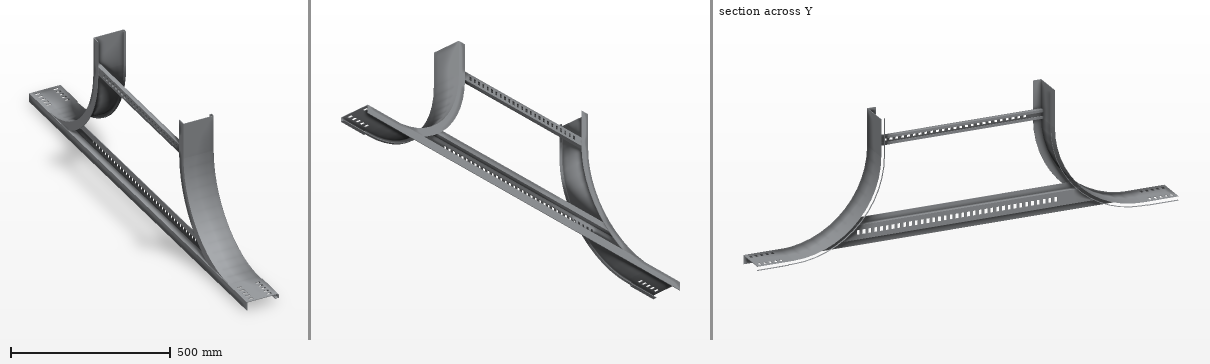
import cadquery as cq
import math

LENGTH = 1450.0
HEIGHT = 457.0
BASE_WIDTH = 115.0
SHEET = 2.0
MID_X = LENGTH / 2

BASE_FRONT_Y = -BASE_WIDTH / 2
BASE_BACK_Y = BASE_WIDTH / 2
BASE_FLANGE_DEPTH = 30.0
BASE_FOLD_RADIUS = 6.0
BASE_LIP_DEPTH = 16.0
BASE_LIP_RETURN = 13.0
BEND_FRONT_Y = BASE_FRONT_Y + SHEET
BEND_BACK_Y = 54.0
BEND_FLANGE_DEPTH = 29.0
BEND_FOLD_RADIUS = 5.0
BEND_LIP_DEPTH = 15.0
BEND_LIP_RETURN = 9.0

BASE_TOP = BASE_FLANGE_DEPTH
PLATE_LENGTH = 107.0
PLATE_SLOT_WIDTH = 9.0
PLATE_SLOT_LENGTH = 16.0
PLATE_SLOT_COUNT = 5
PLATE_SLOT_PITCH = 18.5
PLATE_SLOT_FIRST_X = 15.2
PLATE_SLOT_ROWS_Y = (-35.0, 30.0)
HAT_BACK_Y = -33.0
HAT_LIP_Y = -51.0
HAT_SHELF_Z = 74.0
HAT_TOP = 95.0
HAT_SLOT_HEIGHT = 16.0
HAT_SLOT_COUNT = 35

ARC_RADIUS = 300.0
ARC_START_X = 125.0
ARC_CENTRE_Z = BASE_TOP + ARC_RADIUS
LEG_X = ARC_START_X + ARC_RADIUS

RUNG_HEIGHT = 30.0
RUNG_DEPTH = 15.0
RUNG_LIP = 9.0
RUNG_SLOT_HEIGHT = 13.0
RUNG_SLOT_COUNT = 25
RUNG_FRONT_Y = HAT_LIP_Y
RUNG_BOTTOM = ARC_CENTRE_Z

SLOT_WIDTH = 10.0
SLOT_PITCH = 20.0


def box(x_range, y_range, z_range):
    """Axis-aligned block between the given limits."""
    size = [high - low for low, high in (x_range, y_range, z_range)]
    return cq.Workplane("XY").box(*size, centered=False).translate((x_range[0], y_range[0], z_range[0]))


def rail_section(start_x, front_y, back_y, flange_depth, fold_radius, lip_depth, lip_return):
    """Folded section in a YZ plane: deep front flange, flat web, rounded bend and hooked back lip."""
    inner_radius = fold_radius - SHEET
    return (
        cq.Workplane("YZ", origin=(start_x, 0, BASE_TOP))
        .moveTo(front_y, -flange_depth)
        .lineTo(front_y, 0)
        .lineTo(back_y - fold_radius, 0)
        .radiusArc((back_y, -fold_radius), fold_radius)
        .lineTo(back_y, -lip_depth)
        .lineTo(back_y - lip_return, -lip_depth)
        .lineTo(back_y - lip_return, SHEET - lip_depth)
        .lineTo(back_y - SHEET, SHEET - lip_depth)
        .lineTo(back_y - SHEET, -fold_radius)
        .radiusArc((back_y - fold_radius, -SHEET), -inner_radius)
        .lineTo(front_y + SHEET, -SHEET)
        .lineTo(front_y + SHEET, -flange_depth)
        .close()
    )


def mirror_across_middle(body):
    """Copy of the body on the other half of the tee."""
    return body.mirror("YZ", (MID_X, 0, 0))


def make_left_rail():
    """Side rail that runs level off the end plate and sweeps up into an upright leg."""
    middle = math.sqrt(0.5) * ARC_RADIUS
    path = (
        cq.Workplane("XZ")
        .moveTo(PLATE_LENGTH, BASE_TOP)
        .lineTo(ARC_START_X, BASE_TOP)
        .threePointArc((ARC_START_X + middle, ARC_CENTRE_Z - middle), (LEG_X, ARC_CENTRE_Z))
        .lineTo(LEG_X, HEIGHT)
    )
    section = rail_section(
        PLATE_LENGTH,
        BEND_FRONT_Y,
        BEND_BACK_Y,
        BEND_FLANGE_DEPTH,
        BEND_FOLD_RADIUS,
        BEND_LIP_DEPTH,
        BEND_LIP_RETURN,
    )
    return section.sweep(path)


def slot_row(count, height, centre_y, centre_z):
    """Cutters for a row of rectangular slots through a sheet facing -Y, centred on the tee."""
    cutters = cq.Workplane("XZ", origin=(MID_X, centre_y, centre_z))
    cutters = cutters.rarray(SLOT_PITCH, 15, count, 1).rect(SLOT_WIDTH, height)
    return cutters.extrude(SHEET, both=True)


def make_end_plate():
    """Left end plate with two rows of cross slots."""
    section = rail_section(
        0,
        BASE_FRONT_Y,
        BASE_BACK_Y,
        BASE_FLANGE_DEPTH,
        BASE_FOLD_RADIUS,
        BASE_LIP_DEPTH,
        BASE_LIP_RETURN,
    )
    plate = section.extrude(PLATE_LENGTH)
    slots = [
        (PLATE_SLOT_FIRST_X + column * PLATE_SLOT_PITCH, row_y)
        for column in range(PLATE_SLOT_COUNT)
        for row_y in PLATE_SLOT_ROWS_Y
    ]
    cutters = cq.Workplane("XY", origin=(0, 0, BASE_TOP)).pushPoints(slots)
    cutters = cutters.rect(PLATE_SLOT_WIDTH, PLATE_SLOT_LENGTH).extrude(-2 * SHEET)
    return plate.cut(cutters)


def make_hat():
    """Shelf, slotted wall, upper shelf and raised lip, ending against the undersides of the side rails."""
    hat = (
        cq.Workplane("YZ", origin=(ARC_START_X, 0, 0))
        .moveTo(BASE_FRONT_Y, BASE_TOP - SHEET)
        .lineTo(BASE_FRONT_Y, BASE_TOP)
        .lineTo(HAT_BACK_Y - SHEET, BASE_TOP)
        .lineTo(HAT_BACK_Y - SHEET, HAT_SHELF_Z)
        .lineTo(HAT_LIP_Y, HAT_SHELF_Z)
        .lineTo(HAT_LIP_Y, HAT_TOP)
        .lineTo(HAT_LIP_Y + SHEET, HAT_TOP)
        .lineTo(HAT_LIP_Y + SHEET, HAT_SHELF_Z + SHEET)
        .lineTo(HAT_BACK_Y, HAT_SHELF_Z + SHEET)
        .lineTo(HAT_BACK_Y, BASE_TOP - SHEET)
        .close()
        .extrude(LENGTH - 2 * ARC_START_X)
    )
    bend_space = (
        cq.Workplane("XZ", origin=(ARC_START_X, BEND_FRONT_Y, ARC_CENTRE_Z))
        .circle(ARC_RADIUS + SHEET)
        .extrude(-BASE_WIDTH)
    )
    hat = hat.cut(bend_space).cut(mirror_across_middle(bend_space))
    wall_y = HAT_BACK_Y - SHEET / 2
    slot_z = (BASE_TOP + HAT_SHELF_Z) / 2
    return hat.cut(slot_row(HAT_SLOT_COUNT, HAT_SLOT_HEIGHT, wall_y, slot_z))


def make_base(side_rails):
    """Full-length front flange with an end plate at each end and the hat between them."""
    flange = box((0, LENGTH), (BASE_FRONT_Y, BASE_FRONT_Y + SHEET), (0, BASE_TOP))
    plate = make_end_plate()
    base = flange.union(plate).union(mirror_across_middle(plate)).union(make_hat())
    for rail in side_rails:
        base = base.cut(rail)
    return base


def make_rung():
    """Lipped channel, slotted front and open back, from leg to leg."""
    x_range = (LEG_X + SHEET, LENGTH - LEG_X - SHEET)
    y_range = (RUNG_FRONT_Y, RUNG_FRONT_Y + RUNG_DEPTH)
    z_range = (RUNG_BOTTOM, RUNG_BOTTOM + RUNG_HEIGHT)
    rung = box(x_range, y_range, z_range)
    hollow_z = (z_range[0] + SHEET, z_range[1] - SHEET)
    mouth_z = (z_range[0] + RUNG_LIP, z_range[1] - RUNG_LIP)
    rung = rung.cut(box(x_range, (y_range[0] + SHEET, y_range[1] - SHEET), hollow_z))
    rung = rung.cut(box(x_range, (y_range[1] - SHEET, y_range[1]), mouth_z))
    front_y = RUNG_FRONT_Y + SHEET / 2
    slot_z = RUNG_BOTTOM + RUNG_HEIGHT / 2
    return rung.cut(slot_row(RUNG_SLOT_COUNT, RUNG_SLOT_HEIGHT, front_y, slot_z))


left_rail = make_left_rail()
side_rails = [left_rail, mirror_across_middle(left_rail)]
base = make_base(side_rails)
rung = make_rung()

result = cq.Compound.makeCompound([base.val(), *[rail.val() for rail in side_rails], rung.val()])